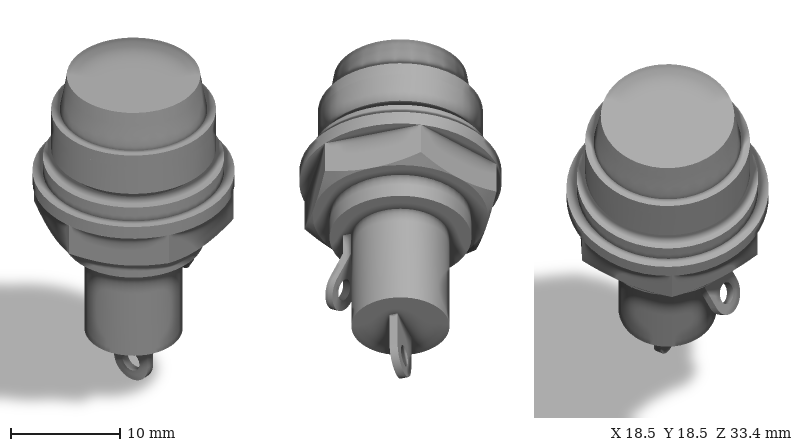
import cadquery as cq
import math

tube_bottom = 5.4
sleeve_bottom = 15.43
nut_bottom = 17.8
washer_bottom = 21.6
gasket_bottom = 22.9
gasket_top = 24.4
collar_bottom = 25.42
lens_bottom = 28.42
lens_flange_top = 29.65
lens_top = 33.4

tube_diameter = 9.0
sleeve_diameter = 13.0
collar_diameter = 15.1
gasket_diameter = 16.6
lens_base_diameter = 13.5
lens_top_diameter = 12.22

nut_across_corners = 18.5
hexagon_half_angle = 30
nut_across_flats = nut_across_corners * math.cos(math.radians(hexagon_half_angle))
nut_chamfer_angle = 30
washer_diameter = nut_across_corners

terminal_width = 3.97
terminal_radius = terminal_width / 2
terminal_thickness = 0.77
terminal_hole_diameter = 2

lug_inner_y = 4.1
lug_bend_z = 13.4
lug_angle = 28
lug_bent_length = 4.58


def cylinder(diameter, bottom, top):
    return cq.Workplane("XY").workplane(offset=bottom).circle(diameter / 2).extrude(top - bottom)


def ring(diameter, bottom, top):
    """Disc that fits around the threaded sleeve."""
    return cylinder(diameter, bottom, top).cut(cylinder(sleeve_diameter, bottom, top))


def terminal_strip(length):
    """Strip hanging down from the origin, with its back face on the XZ plane and its thickness toward -Y."""
    end_center_z = terminal_radius - length
    strip = (
        cq.Workplane("XZ")
        .moveTo(-terminal_radius, 0)
        .lineTo(-terminal_radius, end_center_z)
        .threePointArc((0, -length), (terminal_radius, end_center_z))
        .lineTo(terminal_radius, 0)
        .close()
        .extrude(terminal_thickness)
    )
    hole = (
        cq.Workplane("XZ")
        .center(0, end_center_z)
        .circle(terminal_hole_diameter / 2)
        .extrude(terminal_thickness)
    )
    return strip.cut(hole)


def make_lug():
    """Strip that runs down from the sleeve and then bends away from the tube."""
    outer_y = lug_inner_y + terminal_thickness
    inner_bend_z = lug_bend_z - terminal_thickness * math.tan(math.radians(lug_angle / 2))
    upright = (
        cq.Workplane("YZ")
        .polyline([
            (lug_inner_y, sleeve_bottom),
            (outer_y, sleeve_bottom),
            (outer_y, lug_bend_z),
            (lug_inner_y, inner_bend_z),
        ])
        .close()
        .extrude(terminal_radius, both=True)
    )
    bent_leg = (
        terminal_strip(lug_bent_length)
        .rotate((0, 0, 0), (1, 0, 0), lug_angle)
        .translate((0, outer_y, lug_bend_z))
    )
    bend_shift_y = terminal_thickness * math.cos(math.radians(lug_angle))
    bend_shift_z = terminal_thickness * math.sin(math.radians(lug_angle))
    wedge = (
        cq.Workplane("YZ")
        .polyline([
            (outer_y, lug_bend_z),
            (lug_inner_y, inner_bend_z),
            (outer_y - bend_shift_y, lug_bend_z - bend_shift_z),
        ])
        .close()
        .extrude(terminal_radius, both=True)
    )
    return upright.union(bent_leg).union(wedge)


def make_housing():
    """Collar, threaded sleeve and rear tube, with the solder lug."""
    collar = cylinder(collar_diameter, collar_bottom, lens_bottom)
    sleeve = cylinder(sleeve_diameter, sleeve_bottom, collar_bottom)
    tube = cylinder(tube_diameter, tube_bottom, sleeve_bottom)
    return collar.union(sleeve).union(tube).union(make_lug())


def make_lens():
    """Tapered lens on a flange as wide as the housing collar."""
    return (
        cq.Workplane("XZ")
        .polyline([
            (0, lens_bottom),
            (collar_diameter / 2, lens_bottom),
            (collar_diameter / 2, lens_flange_top),
            (lens_base_diameter / 2, lens_flange_top),
            (lens_top_diameter / 2, lens_top),
            (0, lens_top),
        ])
        .close()
        .revolve(360, (0, 0), (0, 1))
    )


def make_nut():
    """Hexagonal nut with corners on the Y axis and its lower corners chamfered."""
    height = washer_bottom - nut_bottom
    hexagon = (
        cq.Workplane("XY")
        .workplane(offset=nut_bottom)
        .polygon(6, nut_across_corners)
        .extrude(height)
        .rotate((0, 0, 0), (0, 0, 1), hexagon_half_angle)
    )
    bottom_radius = nut_across_flats / 2
    top_radius = bottom_radius + height / math.tan(math.radians(nut_chamfer_angle))
    chamfer_cone = (
        cq.Workplane("XZ")
        .polyline([
            (0, nut_bottom),
            (bottom_radius, nut_bottom),
            (top_radius, washer_bottom),
            (0, washer_bottom),
        ])
        .close()
        .revolve(360, (0, 0), (0, 1))
    )
    bore = cylinder(sleeve_diameter, nut_bottom, washer_bottom)
    return hexagon.intersect(chamfer_cone).cut(bore)


housing = make_housing()
lens = make_lens()
gasket = ring(gasket_diameter, gasket_bottom, gasket_top)
washer = ring(washer_diameter, washer_bottom, gasket_bottom)
nut = make_nut()
centre_terminal = terminal_strip(tube_bottom).translate((0, terminal_thickness / 2, tube_bottom))

result = cq.Compound.makeCompound([
    housing.solids().val(),
    lens.solids().val(),
    gasket.solids().val(),
    washer.solids().val(),
    nut.solids().val(),
    centre_terminal.solids().val(),
])